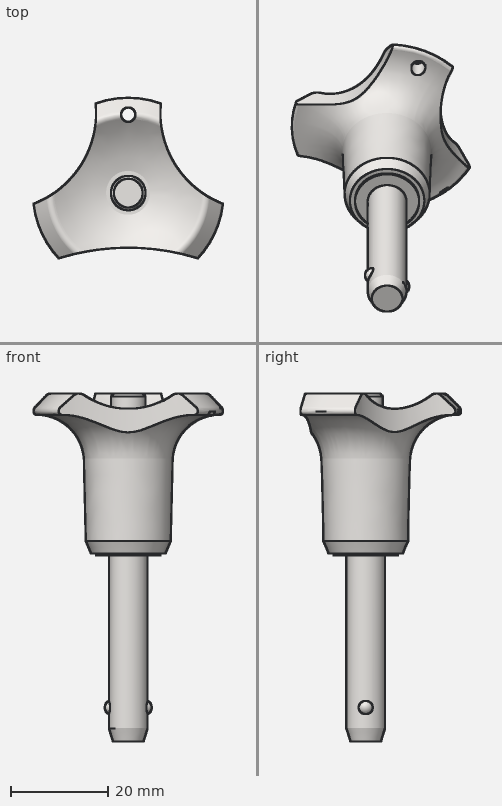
import cadquery as cq
import math


shank_radius = 4.0
shank_length = 38.2
tip_radius = 3.15
tip_length = 2.7
ball_radius = 1.5
ball_reach = 4.85
ball_height_above_tip = 7.0

overall_length = 71.5
grip_height = overall_length - shank_length
seat_radius = 6.6
seat_height = 0.4
body_end_radius = 7.65
body_low_radius = 8.75
body_high_radius = 9.15
body_bevel_height = 2.6
flare_radius = 9.6
flare_drop = 13.4

rim_radius = 19.6
rim_depth = 4.4
rim_lower_radius = 0.7
rim_upper_radius = 1.2
crest_radius = 1.2
crest_center_radius = 15.95
floor_radius = 4.5
dish_radius = 22.55
bezel_angle = math.radians(45)

front_scoop_radius = 48.0
front_scoop_reach = 11.25
side_scoop_radius = 20.0
side_scoop_x = 26.62
side_scoop_y = 16.47

lanyard_hole_diameter = 2.9
lanyard_hole_y = 16.1

button_radius = 3.55
button_chamfer = 0.6


def on_circle(center, radius, angle):
    """Point on a circle in the (radius, Z) half plane."""
    return (center[0] + radius * math.cos(angle), center[1] + radius * math.sin(angle))


def make_grip():
    """Revolved body, concave flare, rounded rim and dished top."""
    flare_z = grip_height - flare_drop
    rim_bottom_z = grip_height - rim_depth
    flare_center_z = rim_bottom_z - flare_radius
    flare_reach = math.sqrt(flare_radius**2 - (flare_z - flare_center_z) ** 2)
    flare_center = (body_high_radius + flare_reach, flare_center_z)
    flare_mid = on_circle(flare_center, flare_radius, math.radians(135))
    flare_end = on_circle(flare_center, flare_radius, math.pi / 2)

    crest_center = (crest_center_radius, grip_height - crest_radius)
    dish_rise = math.sqrt((dish_radius + crest_radius) ** 2 - crest_center_radius**2)
    dish_center = (0, crest_center[1] + dish_rise)
    tangent_angle = math.atan2(dish_rise, -crest_center_radius)
    crest_outer = on_circle(crest_center, crest_radius, bezel_angle)
    crest_top = on_circle(crest_center, crest_radius, math.pi / 2)
    crest_inner = on_circle(crest_center, crest_radius, tangent_angle)

    lower_center = (rim_radius - rim_lower_radius, rim_bottom_z + rim_lower_radius)
    lower_start = on_circle(lower_center, rim_lower_radius, -math.pi / 2)
    lower_mid = on_circle(lower_center, rim_lower_radius, -math.pi / 4)
    lower_end = on_circle(lower_center, rim_lower_radius, 0)
    bezel_radius = rim_radius - rim_upper_radius * (1 - math.cos(bezel_angle))
    bezel_z = crest_outer[1] - (bezel_radius - crest_outer[0]) / math.tan(bezel_angle)
    upper_center = (rim_radius - rim_upper_radius, bezel_z - rim_upper_radius * math.sin(bezel_angle))
    upper_start = on_circle(upper_center, rim_upper_radius, 0)
    upper_mid = on_circle(upper_center, rim_upper_radius, bezel_angle / 2)

    floor_angle = -math.acos(floor_radius / dish_radius)
    dish_end_angle = tangent_angle - math.pi
    dish_mid = on_circle(dish_center, dish_radius, (floor_angle + dish_end_angle) / 2)
    dish_floor = on_circle(dish_center, dish_radius, floor_angle)

    profile = (
        cq.Workplane("XZ")
        .moveTo(0, 0)
        .lineTo(seat_radius, 0)
        .lineTo(seat_radius, seat_height)
        .lineTo(body_end_radius, seat_height)
        .lineTo(body_low_radius, seat_height + body_bevel_height)
        .lineTo(body_high_radius, flare_z)
        .threePointArc(flare_mid, flare_end)
        .lineTo(*lower_start)
        .threePointArc(lower_mid, lower_end)
        .lineTo(*upper_start)
        .threePointArc(upper_mid, (bezel_radius, bezel_z))
        .lineTo(*crest_outer)
        .threePointArc(crest_top, crest_inner)
        .threePointArc(dish_mid, dish_floor)
        .lineTo(0, dish_floor[1])
        .close()
    )
    return profile.revolve(360, (0, 0, 0), (0, 1, 0))


def scoop(x, y, radius):
    """Vertical cylinder that removes the grip between two arms."""
    return cq.Workplane("XY").center(x, y).circle(radius).extrude(grip_height)


def make_shank():
    """Pin shank with a tapered tip, hanging below the grip."""
    return (
        cq.Workplane("XZ")
        .moveTo(0, 0)
        .lineTo(shank_radius, 0)
        .lineTo(shank_radius, tip_length - shank_length)
        .lineTo(tip_radius, -shank_length)
        .lineTo(0, -shank_length)
        .close()
        .revolve(360, (0, 0, 0), (0, 1, 0))
    )


def make_ball(side):
    """Locking ball on the +X (side = 1) or -X (side = -1) flank of the shank."""
    ball_x = side * (ball_reach - ball_radius)
    ball_z = ball_height_above_tip - shank_length
    return cq.Workplane("XY").sphere(ball_radius).translate((ball_x, 0, ball_z))


def make_button():
    """Chamfered push button, rooted in the grip and level with the rim crest."""
    return (
        cq.Workplane("XY")
        .circle(button_radius)
        .extrude(grip_height)
        .faces(">Z")
        .chamfer(button_chamfer)
    )


grip = make_grip()
grip = grip.cut(scoop(0, -front_scoop_reach - front_scoop_radius, front_scoop_radius))
for side in (-1, 1):
    grip = grip.cut(scoop(side * side_scoop_x, side_scoop_y, side_scoop_radius))

lanyard_hole = cq.Workplane("XY").center(0, lanyard_hole_y).circle(lanyard_hole_diameter / 2)
grip = grip.cut(lanyard_hole.extrude(grip_height))

result = grip.union(make_button()).union(make_shank())
for side in (-1, 1):
    result = result.union(make_ball(side))